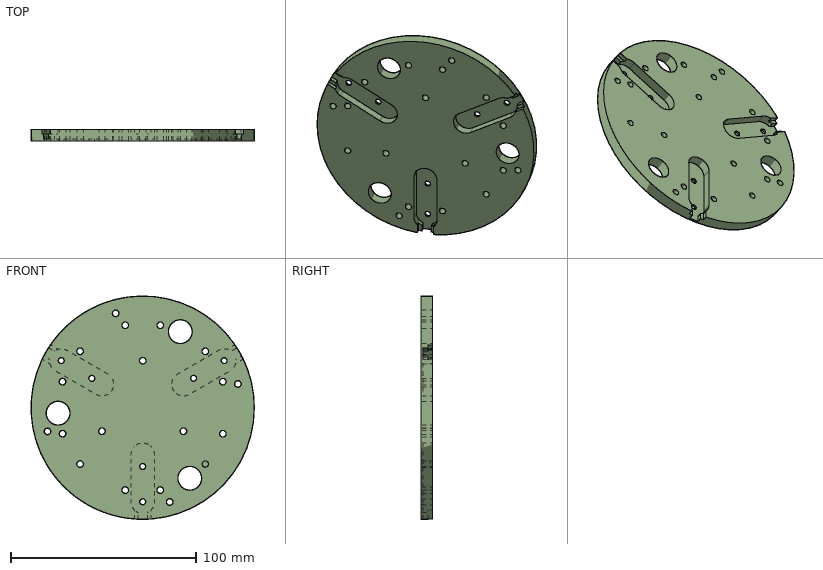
import cadquery as cq
import math

PLATE_DIAMETER = 120.65
PLATE_THICKNESS = 6.4
BACK_Y = PLATE_THICKNESS / 2

OPENING_DIAMETER = 12.7
OPENING_RADIUS = 45.8
OPENING_START_ANGLE = 63.7

SCREW_DIAMETER = 3.43
OUTER_SCREW_RADIUS = 53.0
OUTER_SCREW_ANGLES = [14, 106, 194, 286]
INNER_SCREW_RADIUS = 25.4
INNER_SCREW_START_ANGLE = 90.0
MIDDLE_SCREW_RADIUS = 45.5
MIDDLE_SCREW_ANGLES = [18, 42, 78]
BLIND_SCREW_ANGLE = -42
BLIND_SCREW_DEPTH = 5.08

POCKET_START_ANGLE = 30.0
POCKET_WIDTH = 12.7
POCKET_DEPTH = 5.2
POCKET_INNER_RADIUS = 25.4
POCKET_OUTER_RADIUS = 50.8
PIN_DIAMETER = 3.05
PIN_INNER_RADIUS = 31.75
PIN_OUTER_RADIUS = POCKET_OUTER_RADIUS

CHANNEL_WIDE_WIDTH = 9.0
CHANNEL_WIDE_DEPTH = 2.54
CHANNEL_NARROW_WIDTH = 5.08


def evenly_spaced(start_angle, count=3):
    """Angles that divide the full turn equally."""
    return [start_angle + 360 / count * index for index in range(count)]


def polar_points(radius, angles):
    """Points (x, z) on a circle about the plate axis."""
    radians = [math.radians(angle) for angle in angles]
    return [(radius * math.cos(a), radius * math.sin(a)) for a in radians]


def front_plane():
    """Sketch plane on the front face; its normal points to -Y."""
    return cq.Workplane("XZ", origin=(0, -BACK_Y, 0))


def cylinders(points, diameter, depth):
    """Round cutters that go from the front face into the plate."""
    return front_plane().pushPoints(points).circle(diameter / 2).extrude(-depth)


def plate():
    return front_plane().circle(PLATE_DIAMETER / 2).extrude(-PLATE_THICKNESS)


def middle_screw_angles():
    angles = []
    for angle in MIDDLE_SCREW_ANGLES:
        angles += [angle, 180 - angle, angle - 180, -angle]
    angles.remove(BLIND_SCREW_ANGLE)
    return angles


def back_plane():
    """Sketch plane on the back face; its normal points to -Y, into the plate."""
    return cq.Workplane("XZ", origin=(0, BACK_Y, 0))


def channel_step(width, depth):
    """One step of the channel along +X, from the outer end of the pocket out to the rim."""
    rim_radius = PLATE_DIAMETER / 2
    length = rim_radius - POCKET_OUTER_RADIUS
    return back_plane().center(rim_radius - length / 2, 0).rect(length, width).extrude(depth)


def pocket_with_channel(angle):
    """Cutter for one pocket and its channel, drawn along +X and turned to its angle."""
    center_distance = POCKET_OUTER_RADIUS - POCKET_INNER_RADIUS
    pocket = (
        back_plane()
        .center(POCKET_INNER_RADIUS + center_distance / 2, 0)
        .slot2D(center_distance + POCKET_WIDTH, POCKET_WIDTH)
        .extrude(POCKET_DEPTH)
    )
    wide_step = channel_step(CHANNEL_WIDE_WIDTH, CHANNEL_WIDE_DEPTH)
    narrow_step = channel_step(CHANNEL_NARROW_WIDTH, POCKET_DEPTH)
    cutter = pocket.union(wide_step).union(narrow_step)
    return cutter.rotate((0, 0, 0), (0, -1, 0), angle)


result = plate()

openings = polar_points(OPENING_RADIUS, evenly_spaced(OPENING_START_ANGLE))
result = result.cut(cylinders(openings, OPENING_DIAMETER, PLATE_THICKNESS))

through_screws = (
    polar_points(OUTER_SCREW_RADIUS, OUTER_SCREW_ANGLES)
    + polar_points(INNER_SCREW_RADIUS, evenly_spaced(INNER_SCREW_START_ANGLE))
    + polar_points(MIDDLE_SCREW_RADIUS, middle_screw_angles())
)
result = result.cut(cylinders(through_screws, SCREW_DIAMETER, PLATE_THICKNESS))

blind_screw = polar_points(MIDDLE_SCREW_RADIUS, [BLIND_SCREW_ANGLE])
result = result.cut(cylinders(blind_screw, SCREW_DIAMETER, BLIND_SCREW_DEPTH))

pocket_angles = evenly_spaced(POCKET_START_ANGLE)
for pocket_angle in pocket_angles:
    result = result.cut(pocket_with_channel(pocket_angle))

for pin_radius in (PIN_INNER_RADIUS, PIN_OUTER_RADIUS):
    pins = polar_points(pin_radius, pocket_angles)
    result = result.cut(cylinders(pins, PIN_DIAMETER, PLATE_THICKNESS))